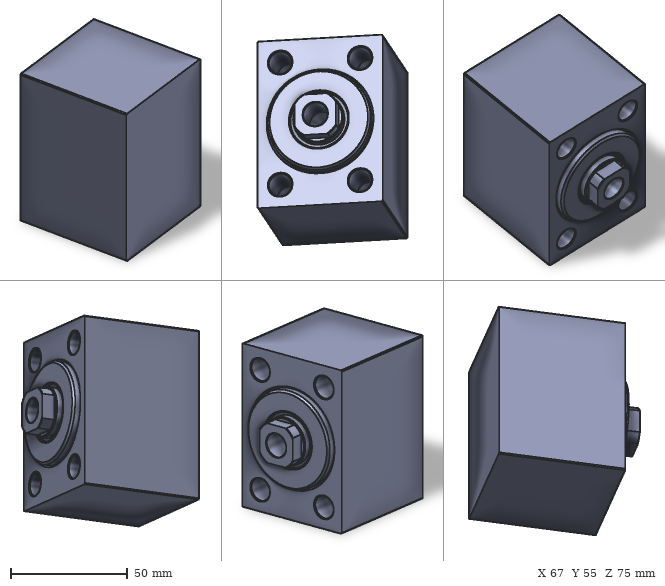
import cadquery as cq
import math

HOUSING_LENGTH = 56.0
HOUSING_WIDTH = 55.0
HOUSING_HEIGHT = 75.0
HOUSING_EDGE_CHAMFER = 0.5

MOUNT_SPACING_Y = 35.0
MOUNT_SPACING_Z = 55.0
MOUNT_RADIUS = 5.0
MOUNT_MOUTH_CHAMFER = 0.45
MOUNT_DEPTH = 19.95

GLAND_RADIUS = 22.5
GLAND_PROTRUSION = 3.0
GLAND_DEPTH = 19.95
GLAND_CHAMFER = 1.0
BORE_MOUTH_CHAMFER = 1.0

WIPER_SEAT_RADIUS = 13.2
WIPER_SEAT_DEPTH = 0.3
WIPER_RADIUS = 12.7
WIPER_DEPTH = 1.5

ROD_RADIUS = 11.0
ROD_SHOULDER_CHAMFER = 0.5
ROD_PROTRUSION = 10.95
TANG_LENGTH = 5.9
TANG_RADIUS = 10.6
TANG_WIDTH = 18.15
TANG_END_CHAMFER = 0.2
ROD_HOLE_RADIUS = 5.3
ROD_HOLE_MOUTH_CHAMFER = 0.3
ROD_HOLE_DEPTH = 15.0

DRILL_POINT_ANGLE = 118.0


def cylinder_along_x(radius, start, end):
    """Cylinder on the X axis, from X = start to X = end."""
    return cq.Workplane("YZ", origin=(start, 0, 0)).circle(radius).extrude(end - start)


def drilled_hole(radius, mouth, depth, mouth_chamfer):
    """Blind drilled hole on the X axis with a conical bottom and a chamfered mouth."""
    point_length = radius / math.tan(math.radians(DRILL_POINT_ANGLE / 2))
    profile = (
        cq.Workplane("XY")
        .moveTo(mouth, 0)
        .lineTo(mouth, radius + mouth_chamfer)
        .lineTo(mouth + mouth_chamfer, radius)
        .lineTo(mouth + depth, radius)
        .lineTo(mouth + depth + point_length, 0)
        .close()
    )
    return profile.revolve(360, (0, 0, 0), (1, 0, 0))


def make_housing():
    """Block with a blind bore for the gland and four mounting holes."""
    block = (
        cq.Workplane("YZ")
        .rect(HOUSING_WIDTH, HOUSING_HEIGHT)
        .extrude(HOUSING_LENGTH)
        .edges("|X")
        .chamfer(HOUSING_EDGE_CHAMFER)
    )

    bore = cylinder_along_x(GLAND_RADIUS, 0, GLAND_DEPTH)
    bore_mouth = (
        cq.Workplane("YZ")
        .circle(GLAND_RADIUS + BORE_MOUTH_CHAMFER)
        .workplane(offset=BORE_MOUTH_CHAMFER)
        .circle(GLAND_RADIUS)
        .loft()
    )
    block = block.cut(bore).cut(bore_mouth)

    mount_hole = drilled_hole(MOUNT_RADIUS, 0, MOUNT_DEPTH, MOUNT_MOUTH_CHAMFER)
    for side_y in (-1, 1):
        for side_z in (-1, 1):
            hole_center = (0, side_y * MOUNT_SPACING_Y / 2, side_z * MOUNT_SPACING_Z / 2)
            block = block.cut(mount_hole.translate(hole_center))
    return block


def make_gland():
    """Round gland around the rod, with a stepped wiper recess in its front face."""
    front = -GLAND_PROTRUSION
    gland = cylinder_along_x(GLAND_RADIUS, front, GLAND_DEPTH).faces("<X").edges().chamfer(GLAND_CHAMFER)
    gland = gland.cut(cylinder_along_x(ROD_RADIUS, front, GLAND_DEPTH))
    gland = gland.cut(cylinder_along_x(WIPER_SEAT_RADIUS, front, front + WIPER_SEAT_DEPTH))
    gland = gland.cut(cylinder_along_x(WIPER_RADIUS, front, front + WIPER_DEPTH))
    return gland


def make_rod():
    """Piston rod with a square tang that has rounded corners and a drilled end."""
    tip = -ROD_PROTRUSION
    shoulder = tip + TANG_LENGTH
    shank = cylinder_along_x(ROD_RADIUS, shoulder, GLAND_DEPTH)
    shank = shank.faces("<X").edges().chamfer(ROD_SHOULDER_CHAMFER)

    tang_round = cylinder_along_x(TANG_RADIUS, tip, shoulder).faces("<X").edges().chamfer(TANG_END_CHAMFER)
    tang_square = cq.Workplane("YZ", origin=(tip, 0, 0)).rect(TANG_WIDTH, TANG_WIDTH).extrude(TANG_LENGTH)
    tang = tang_round.intersect(tang_square)

    end_hole = drilled_hole(ROD_HOLE_RADIUS, tip, ROD_HOLE_DEPTH, ROD_HOLE_MOUTH_CHAMFER)
    return shank.union(tang).cut(end_hole)


housing = make_housing().solids()
gland = make_gland().solids()
rod = make_rod().solids()

result = cq.Compound.makeCompound([housing.val(), gland.val(), rod.val()])